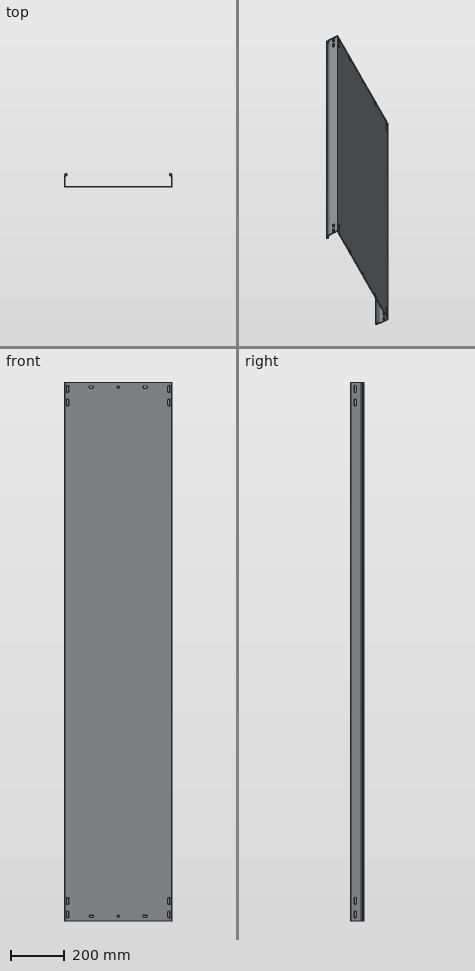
import math

import cadquery as cq

length = 2000.0
width = 400.0
depth = 50.0
thickness = 2.0

corner_radius = 1.0
lip_bend_radius = 4.0
hem_radius = 4.0

lip_angle = 40.0
hem_inset = 6.1
hem_return = 4.0

slot_length = 25.0
slot_width = 7.0
slot_end_distance = 25.0
slot_pitch = 50.0
web_slot_inset = 12.0
flange_slot_height = 17.5

row_end_distance = 18.0
row_hole_diameter = 7.0
row_slot_length = 16.0
row_slot_offset = 100.0

half_width = width / 2
half_length = length / 2
slot_heights = [
    side * (half_length - slot_end_distance - step * slot_pitch)
    for side in (-1, 1)
    for step in (0, 1)
]


def on_circle(center, radius, angle):
    """Point at an angle in degrees, counted from +X."""
    turn = math.radians(angle)
    return (center[0] + radius * math.cos(turn), center[1] + radius * math.sin(turn))


def half_profile():
    """Left half of the bent sheet, drawn along its middle line with sharp web corners."""
    slope = math.tan(math.radians(lip_angle))
    flange_x = -half_width + thickness / 2

    hem_center = (-half_width + hem_inset, depth - hem_radius)
    hem_middle = hem_radius - thickness / 2
    hem_start = on_circle(hem_center, hem_middle, lip_angle - 90)
    hem_top = on_circle(hem_center, hem_middle, lip_angle)
    hem_end = on_circle(hem_center, hem_middle, lip_angle + 90)
    lip_end = on_circle(hem_end, hem_return, lip_angle + 180)

    bend_middle = lip_bend_radius - thickness / 2
    lip_corner_y = hem_start[1] - (hem_start[0] - flange_x) * slope
    bend_setback = bend_middle * math.tan(math.radians(90 - lip_angle) / 2)
    bend_center = (flange_x + bend_middle, lip_corner_y - bend_setback)
    bend_end = on_circle(bend_center, bend_middle, 90 + lip_angle)
    bend_mid = on_circle(bend_center, bend_middle, 135 + lip_angle / 2)

    middle_line = (
        cq.Workplane("XY")
        .moveTo(0, thickness / 2)
        .lineTo(flange_x, thickness / 2)
        .lineTo(flange_x, bend_center[1])
        .threePointArc(bend_mid, bend_end)
        .lineTo(*hem_start)
        .threePointArc(hem_top, hem_end)
        .lineTo(*lip_end)
    )
    return middle_line.wire().val().offset2D(thickness / 2, "intersection")


def bent_sheet():
    """Web, flanges and hemmed lips as one constant section along Z."""
    left = cq.Workplane("XY").newObject(half_profile()).toPending().extrude(length)
    left = left.translate((0, 0, -half_length))
    left_space = cq.Workplane("XY").box(width, 4 * depth, 2 * length).translate((-half_width, 0, 0))
    left = left.intersect(left_space)
    left = left.edges("|Z").edges(cq.NearestToPointSelector((-half_width, 0, 0))).fillet(corner_radius)
    return left.union(left.mirror("YZ"))


def corner_slots(plane, across):
    """Cutters for the Z-direction slots, at the given places across the plane."""
    places = [(place, z) for place in across for z in slot_heights]
    cutter = cq.Workplane(plane).pushPoints(places).slot2D(slot_length, slot_width, 90)
    return cutter.extrude(width, both=True)


def end_row():
    """Cutters for the middle hole and the two cross slots at each end of the web."""
    ends = [side * (half_length - row_end_distance) for side in (-1, 1)]
    holes = cq.Workplane("XZ").pushPoints([(0, z) for z in ends]).circle(row_hole_diameter / 2)
    slot_places = [(side * row_slot_offset, z) for side in (-1, 1) for z in ends]
    slots = cq.Workplane("XZ").pushPoints(slot_places).slot2D(row_slot_length, row_hole_diameter)
    return holes.extrude(depth, both=True).union(slots.extrude(depth, both=True))


def web_slots():
    """Web slot cutters, kept within the web so that they miss the lips above."""
    web_space = cq.Workplane("XY").box(width, 4 * thickness, length)
    slot_x = half_width - web_slot_inset
    return corner_slots("XZ", (-slot_x, slot_x)).intersect(web_space)


result = bent_sheet().cut(web_slots()).cut(corner_slots("YZ", (flange_slot_height,))).cut(end_row())